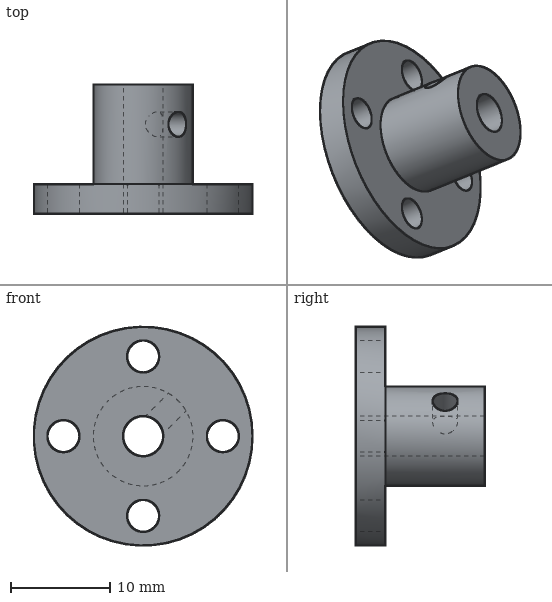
import cadquery as cq

flange_diameter = 22.0
overall_length = 13.0
flange_thickness = 3.0

hub_diameter = 10.0
bore_diameter = 4.0

mount_hole_count = 4
mount_hole_diameter = 3.2
mount_circle_radius = 8.0

screw_hole_diameter = 2.5
screw_from_hub_end = 4.0
screw_angle = 45.0


def cylinder_along_y(diameter, length):
    """Cylinder on the Y axis, from Y = 0 to Y = length."""
    return cq.Workplane("XZ").circle(diameter / 2).extrude(-length)


def mounting_holes():
    return (
        cq.Workplane("XZ")
        .polarArray(mount_circle_radius, 0, 360, mount_hole_count)
        .circle(mount_hole_diameter / 2)
        .extrude(-flange_thickness)
    )


def set_screw_hole():
    """Cylinder from the bore axis out past the hub surface."""
    screw_y = overall_length - screw_from_hub_end
    return (
        cq.Workplane("XY")
        .center(0, screw_y)
        .circle(screw_hole_diameter / 2)
        .extrude(hub_diameter)
        .rotate((0, 0, 0), (0, 1, 0), screw_angle)
    )


flange = cylinder_along_y(flange_diameter, flange_thickness)
hub = cylinder_along_y(hub_diameter, overall_length)
bore = cylinder_along_y(bore_diameter, overall_length)

result = flange.union(hub).cut(bore).cut(mounting_holes()).cut(set_screw_hole())